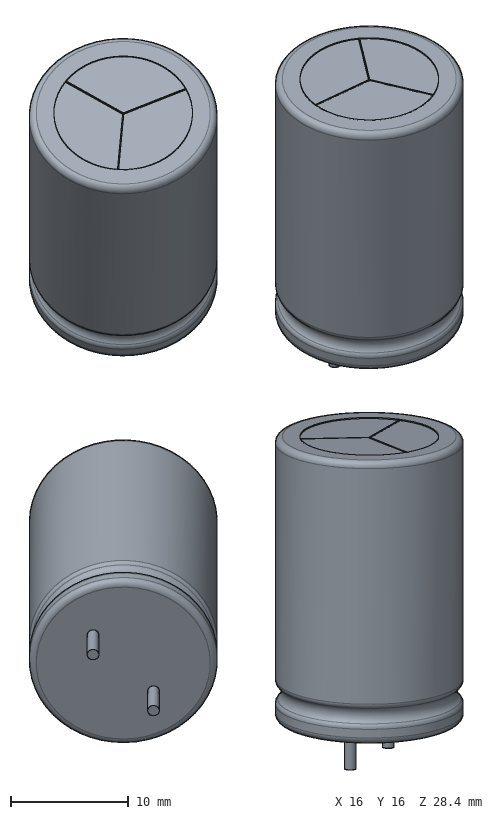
import cadquery as cq
import math

total_height = 28.4
can_diameter = 16.0
can_radius = can_diameter / 2
pin_length = 3.4
can_bottom = pin_length
can_top = total_height

rim_fillet = 0.6

groove_center = can_bottom + 2.47
groove_depth = 0.5
groove_half_height = 1.1
shoulder_height = 0.43

recess_diameter = 11.8
recess_depth = 0.1
slot_width = 0.1
slot_depth = 0.1
slot_count = 3
first_slot_angle = 60

pin_diameter = 1.0
pin_spacing = 7.5


def can_body():
    """Revolve the can with its crimp groove, then round both rims."""
    turn = 2 * math.atan(groove_depth / groove_half_height)
    shoulder_radius = shoulder_height / math.sin(turn)
    shoulder_depth = shoulder_radius * (1 - math.cos(turn))
    shoulder_mid_drop = shoulder_radius * math.sin(turn / 2)
    shoulder_mid_depth = shoulder_radius * (1 - math.cos(turn / 2))

    def groove_point(depth, height):
        return (can_radius - depth, groove_center + height)

    mid_height = groove_half_height - shoulder_mid_drop
    waist_half_height = groove_half_height - shoulder_height
    profile = (
        cq.Workplane("XZ")
        .moveTo(0, can_bottom)
        .lineTo(can_radius, can_bottom)
        .lineTo(*groove_point(0, -groove_half_height))
        .threePointArc(
            groove_point(shoulder_mid_depth, -mid_height),
            groove_point(shoulder_depth, -waist_half_height),
        )
        .threePointArc(
            groove_point(groove_depth, 0),
            groove_point(shoulder_depth, waist_half_height),
        )
        .threePointArc(
            groove_point(shoulder_mid_depth, mid_height),
            groove_point(0, groove_half_height),
        )
        .lineTo(can_radius, can_top)
        .lineTo(0, can_top)
        .close()
    )
    can = profile.revolve(360, (0, 0, 0), (0, 1, 0))
    return can.faces("<Z or >Z").edges().fillet(rim_fillet)


def top_recess():
    """Disc removed from the top face."""
    return (
        cq.Workplane("XY", origin=(0, 0, can_top - recess_depth))
        .circle(recess_diameter / 2)
        .extrude(recess_depth)
    )


def vent_slots():
    """Radial slots below the recess floor, meeting at the axis."""
    slot_length = recess_diameter / 2
    slot_height = recess_depth + slot_depth
    slots = cq.Workplane("XY")
    for index in range(slot_count):
        slot = cq.Workplane("XY", origin=(0, 0, can_top - slot_height)).box(
            slot_length, slot_width, slot_height, centered=(False, True, False)
        )
        angle = first_slot_angle + index * 360 / slot_count
        slots = slots.union(slot.rotate((0, 0, 0), (0, 0, 1), angle))
    return slots


def pins():
    """Two round leads side by side along X, standing below the can."""
    return (
        cq.Workplane("XY")
        .pushPoints([(-pin_spacing / 2, 0), (pin_spacing / 2, 0)])
        .circle(pin_diameter / 2)
        .extrude(pin_length)
    )


result = can_body().cut(top_recess()).cut(vent_slots()).union(pins())